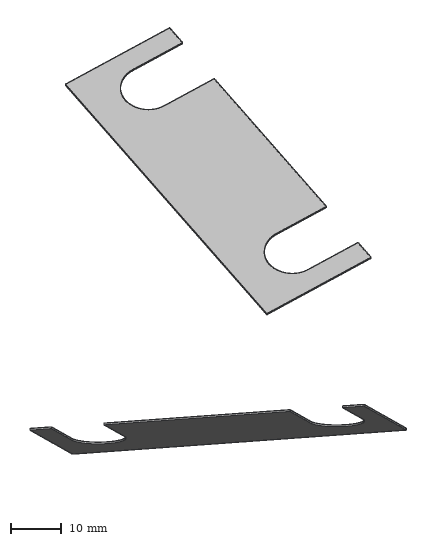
import cadquery as cq

length = 70.0
width = 25.0
thickness = 0.38

slot_width = 11.0
slot_spacing = 50.0
slot_depth = 17.5

slot_radius = slot_width / 2
back_edge = width / 2
arc_center_y = back_edge - slot_depth + slot_radius


def open_slot(center_x):
    """Cutter for one slot: straight sides ending in a half circle."""
    left = center_x - slot_radius
    right = center_x + slot_radius
    return (
        cq.Workplane("XY")
        .moveTo(left, back_edge)
        .lineTo(left, arc_center_y)
        .threePointArc((center_x, back_edge - slot_depth), (right, arc_center_y))
        .lineTo(right, back_edge)
        .close()
        .extrude(thickness)
    )


result = cq.Workplane("XY").box(length, width, thickness, centered=(True, True, False))
for side in (-1, 1):
    result = result.cut(open_slot(side * slot_spacing / 2))